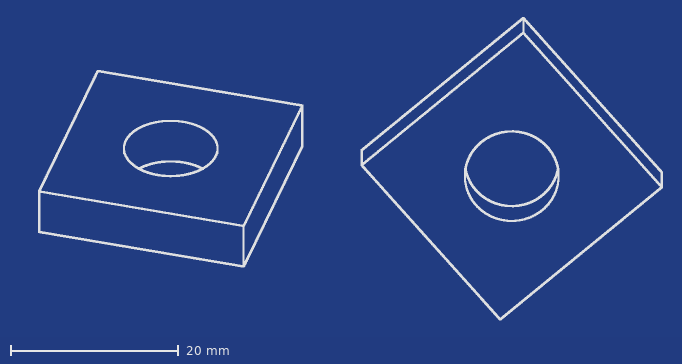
import cadquery as cq

plate_side = 25.4
plate_thickness = 6.0
hole_diameter = 11.18

result = (
    cq.Workplane("XY")
    .box(plate_side, plate_side, plate_thickness)
    .faces(">Z")
    .workplane()
    .hole(hole_diameter)
)